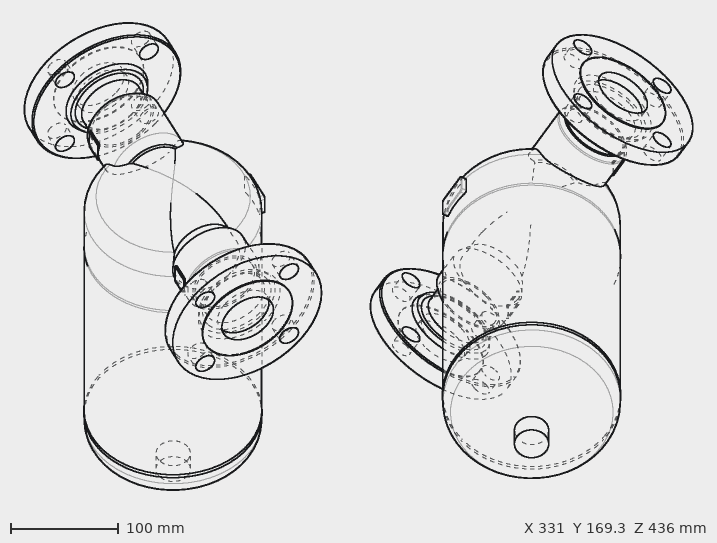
import cadquery as cq
import math

wall_radius = 165.0 / 2
top_tangent_z = 345.5
top_knuckle_radius = 26.0
top_dish_radius = 122.0
bottom_tangent_z = 66.5
bottom_knuckle_radius = 22.5
bottom_dish_radius = 109.0
drain_radius = 32.0 / 2

lower_bead_radius = 165.5 / 2
lower_bead_z = (74.5, 78.5)
upper_bead_radius = 165.2 / 2
upper_bead_z = (296.5, 299.5)

overall_length = 331.0
overall_height = 436
flange_radius = 152.0 / 2
flange_thickness = 18.5
flange_chamfer = 1.5
face_radius = 92.0 / 2
face_height = 1.1
bore_radius = 52.8 / 2
bore_depth = 10.0
bolt_hole_radius = 19.0 / 2
bolt_circle_radius = 60.5
bolt_count = 4
first_bolt_angle = 45
collar_root_radius = 42.0
collar_middle_radius = 39.5
collar_tip_radius = 39.2
collar_length = 5.2
weld_start_radius = 35.0
weld_length = 4.5
neck_radius = 60.5 / 2
socket_radius = 37.0
socket_mouth_x = 110.0
socket_rounding = 1.0
socket_chamfer = 4.5
inlet_shoulder_x = 54.0
inlet_shoulder_end_x = 44.5
inlet_shoulder_end_radius = 31.0
inlet_bevel_length = 2.0
outlet_shoulder_x = 80.0
outlet_shoulder_end_x = 66.5

shoulder_bulge_x = 0.35
shoulder_bulge_radius = 0.65

pad_size = 21.0
pad_center_x = 95.0
pad_height = 0.2
pad_corner_radius = 1.7
pad_chamfer = 0.65
plate_width = 34.0
plate_height = 22.2
plate_rear_y = 86.5
plate_top_z = 344.0
plate_corner_radius = 2.5
plate_edge_radius = 1.0

pipe_axis_z = overall_height - flange_radius


def dish_center_offset(dish_radius, knuckle_radius):
    """Distance along the axis from a head's tangent line back to its dish centre."""
    return math.sqrt((dish_radius - knuckle_radius) ** 2 - (wall_radius - knuckle_radius) ** 2)


def head_points(tangent_z, direction, dish_radius, knuckle_radius):
    """Knuckle middle, knuckle/dish joint (both as r, z) and dish centre z; direction is +1 for up."""
    offset = dish_center_offset(dish_radius, knuckle_radius)
    knuckle_center_r = wall_radius - knuckle_radius
    joint_angle = math.atan2(offset, knuckle_center_r)
    middle = (
        knuckle_center_r + knuckle_radius * math.cos(joint_angle / 2),
        tangent_z + direction * knuckle_radius * math.sin(joint_angle / 2),
    )
    joint = (
        dish_radius * math.cos(joint_angle),
        tangent_z + direction * knuckle_radius * math.sin(joint_angle),
    )
    return middle, joint, tangent_z - direction * offset


def dish_point(center_z, direction, dish_radius, r):
    """Point of a dish at distance r from the vessel axis."""
    return r, center_z + direction * math.sqrt(dish_radius**2 - r**2)


top_middle, top_joint, top_center_z = head_points(top_tangent_z, 1, top_dish_radius, top_knuckle_radius)
bottom_middle, bottom_joint, bottom_center_z = head_points(
    bottom_tangent_z, -1, bottom_dish_radius, bottom_knuckle_radius
)
crest_z = top_center_z + top_dish_radius
run_radius = crest_z - pipe_axis_z


def make_vessel():
    """Drain stub, both heads and the wall, revolved as one profile."""
    top_dish_middle = dish_point(top_center_z, 1, top_dish_radius, top_joint[0] / 2)
    drain_top = dish_point(bottom_center_z, -1, bottom_dish_radius, drain_radius)
    bottom_dish_middle = dish_point(
        bottom_center_z, -1, bottom_dish_radius, (drain_radius + bottom_joint[0]) / 2
    )
    return (
        cq.Workplane("XZ")
        .lineTo(drain_radius, 0)
        .lineTo(*drain_top)
        .threePointArc(bottom_dish_middle, bottom_joint)
        .threePointArc(bottom_middle, (wall_radius, bottom_tangent_z))
        .lineTo(wall_radius, top_tangent_z)
        .threePointArc(top_middle, top_joint)
        .threePointArc(top_dish_middle, (0, crest_z))
        .close()
        .revolve(360, (0, 0), (0, 1))
    )


def make_bead(z_range, crown_radius):
    """Weld bead bulging from the wall to crown_radius."""
    low, high = z_range
    return (
        cq.Workplane("XZ")
        .moveTo(0, low)
        .lineTo(wall_radius, low)
        .threePointArc((crown_radius, (low + high) / 2), (wall_radius, high))
        .lineTo(0, high)
        .close()
        .revolve(360, (0, 0), (0, 1))
    )


def make_branch(side, shoulder):
    """Flange, neck and socket on one side (-1 inlet, +1 outlet), closed by its shoulder."""
    outer_x = overall_length / 2
    front_x = outer_x - face_height
    back_x = front_x - flange_thickness
    collar_x = back_x - collar_length
    neck_x = collar_x - weld_length
    lip_x = socket_mouth_x + socket_chamfer
    rounding_start = socket_rounding * math.sqrt(0.5)
    profile = (
        cq.Workplane("XY")
        .moveTo(0, 0)
        .lineTo(outer_x, 0)
        .lineTo(outer_x, face_radius)
        .lineTo(front_x, face_radius)
        .lineTo(front_x, flange_radius)
        .lineTo(back_x + flange_chamfer, flange_radius)
        .lineTo(back_x, flange_radius - flange_chamfer)
        .lineTo(back_x, collar_root_radius)
        .threePointArc((back_x - collar_length / 2, collar_middle_radius), (collar_x, collar_tip_radius))
        .lineTo(collar_x, weld_start_radius)
        .lineTo(neck_x, neck_radius)
        .lineTo(lip_x, neck_radius)
        .lineTo(lip_x, socket_radius - socket_chamfer)
        .lineTo(socket_mouth_x + rounding_start, socket_radius - rounding_start)
        .tangentArcPoint((socket_mouth_x - socket_rounding, socket_radius), relative=False)
    )
    branch = shoulder(profile).lineTo(0, run_radius).close().revolve(360, (0, 0), (1, 0))
    if side < 0:
        branch = branch.mirror("YZ")
    return branch.translate((0, 0, pipe_axis_z))


def inlet_shoulder(profile):
    """Rounded shoulder followed by a short bevel down to the pipe run."""
    middle_x = inlet_shoulder_end_x + shoulder_bulge_x * (inlet_shoulder_x - inlet_shoulder_end_x)
    shoulder_height = socket_radius - inlet_shoulder_end_radius
    middle_radius = inlet_shoulder_end_radius + shoulder_bulge_radius * shoulder_height
    return (
        profile.lineTo(inlet_shoulder_x, socket_radius)
        .threePointArc((middle_x, middle_radius), (inlet_shoulder_end_x, inlet_shoulder_end_radius))
        .lineTo(inlet_shoulder_end_x - inlet_bevel_length, run_radius)
    )


def outlet_shoulder(profile):
    """Conical shoulder down to the pipe run."""
    return profile.lineTo(outlet_shoulder_x, socket_radius).lineTo(outlet_shoulder_end_x, run_radius)


def make_flange_cuts(side):
    """Blind bore and the bolt holes of one flange."""
    face = cq.Workplane("YZ", origin=(side * overall_length / 2, 0, pipe_axis_z))
    bore = face.circle(bore_radius).extrude(-side * bore_depth)
    bolts = (
        face.polarArray(bolt_circle_radius, first_bolt_angle, 360, bolt_count)
        .circle(bolt_hole_radius)
        .extrude(-side * (face_height + flange_thickness))
    )
    return bore.union(bolts)


def make_pad(side):
    """Square pad standing just proud of the -Y side of a socket."""
    front_y = socket_radius + pad_height
    return (
        cq.Workplane("XZ", origin=(side * pad_center_x, 0, pipe_axis_z))
        .rect(pad_size, pad_size)
        .extrude(front_y)
        .edges("|Y")
        .fillet(pad_corner_radius)
        .faces("<Y")
        .chamfer(pad_chamfer)
    )


def make_plate():
    """Rounded nameplate boss on the +Y side of the vessel, just under the top head."""
    return (
        cq.Workplane("XZ", origin=(0, 0, plate_top_z - plate_height / 2))
        .rect(plate_width, plate_height)
        .extrude(-plate_rear_y)
        .edges("|Y")
        .fillet(plate_corner_radius)
        .faces(">Y")
        .edges()
        .fillet(plate_edge_radius)
    )


result = make_vessel()
result = result.union(make_bead(lower_bead_z, lower_bead_radius))
result = result.union(make_bead(upper_bead_z, upper_bead_radius))
for side, shoulder in ((-1, inlet_shoulder), (1, outlet_shoulder)):
    result = result.union(make_branch(side, shoulder))
    result = result.union(make_pad(side))
    result = result.cut(make_flange_cuts(side))
result = result.union(make_plate())